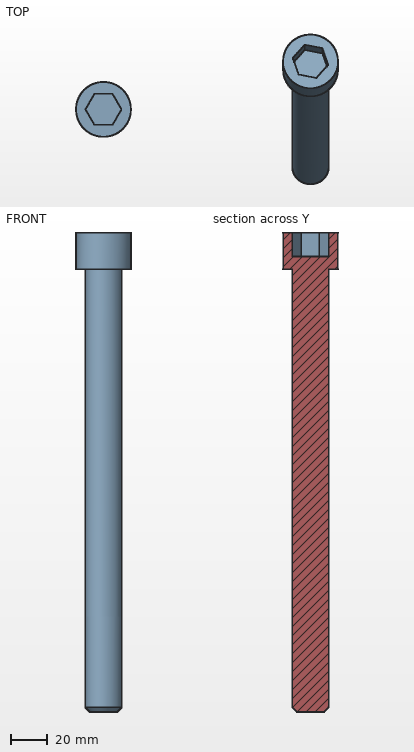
import cadquery as cq

total_length = 260.0
head_diameter = 30.0
shank_diameter = 20.0
head_height = shank_diameter
thread_length = 52.0
socket_across_flats = 17.0
socket_depth = 13.0
tip_chamfer = 2.5

HEXAGON_SIDES = 6
socket_turn = 180 / HEXAGON_SIDES
shank_length = total_length - head_height


def make_cylinder(diameter, bottom, top):
    return cq.Workplane("XY").workplane(offset=bottom).circle(diameter / 2).extrude(top - bottom)


def make_socket():
    """Hexagonal key socket with two corners on the X axis."""
    return (
        cq.Workplane("XY")
        .workplane(offset=total_length - socket_depth)
        .polygon(HEXAGON_SIDES, socket_across_flats, circumscribed=True)
        .extrude(socket_depth)
        .rotate((0, 0, 0), (0, 0, 1), socket_turn)
    )


head = make_cylinder(head_diameter, shank_length, total_length)
plain_shank = make_cylinder(shank_diameter, thread_length, shank_length)
threaded_end = make_cylinder(shank_diameter, 0, thread_length).faces("<Z").chamfer(tip_chamfer)

result = head.union(plain_shank, clean=False).union(threaded_end, clean=False).cut(make_socket(), clean=False)